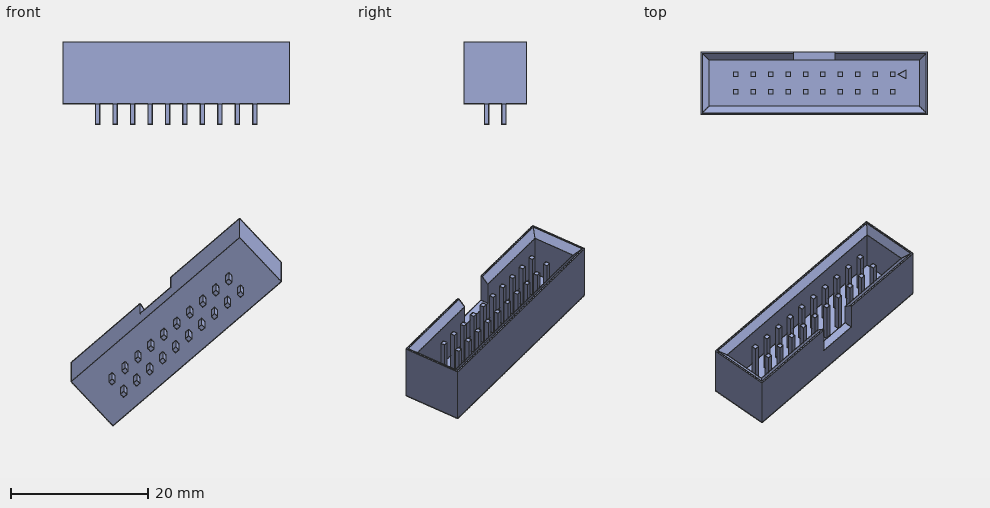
import cadquery as cq

length = 33.0
width = 9.1
body_height = 9.0
wall = 1.22
rim = 0.23
lead_in_depth = wall - rim
floor_thickness = wall

notch_width = 6.0
notch_depth = 4.65

columns = 10
rows = 2
pitch = 2.55
pin_side = 0.65
tail_length = 3.0
pin_top = 8.12

mark_tip_x = 12.18
mark_length = 1.2
mark_width = 1.25
mark_depth = 0.1
mark_y = pitch / 2


def make_housing():
    """Open-topped box with a keying notch; its underside is at Z = 0."""
    body = cq.Workplane("XY").box(length, width, body_height, centered=(True, True, False))
    cavity = (
        cq.Workplane("XY", origin=(0, 0, floor_thickness))
        .rect(length - 2 * wall, width - 2 * wall)
        .extrude(body_height - floor_thickness)
    )
    lead_in = (
        cq.Workplane("XY", origin=(0, 0, body_height - lead_in_depth))
        .rect(length - 2 * wall, width - 2 * wall)
        .workplane(offset=lead_in_depth)
        .rect(length - 2 * rim, width - 2 * rim)
        .loft(ruled=True)
    )
    notch = (
        cq.Workplane("XY", origin=(0, (width - wall) / 2, body_height - notch_depth))
        .rect(notch_width, wall)
        .extrude(notch_depth)
    )
    return body.cut(cavity).cut(lead_in).cut(notch)


def make_pins():
    """Straight square pins, from the solder tails up into the cavity."""
    return (
        cq.Workplane("XY", origin=(0, 0, -tail_length))
        .rarray(pitch, pitch, columns, rows)
        .rect(pin_side, pin_side)
        .extrude(tail_length + pin_top)
    )


def make_mark():
    """Triangle pointing in -X at the last pin of the +Y row."""
    mark_base_x = mark_tip_x + mark_length
    return (
        cq.Workplane("XY", origin=(0, mark_y, floor_thickness - mark_depth))
        .moveTo(mark_tip_x, 0)
        .lineTo(mark_base_x, -mark_width / 2)
        .lineTo(mark_base_x, mark_width / 2)
        .close()
        .extrude(mark_depth)
    )


result = make_housing().cut(make_mark()).union(make_pins())